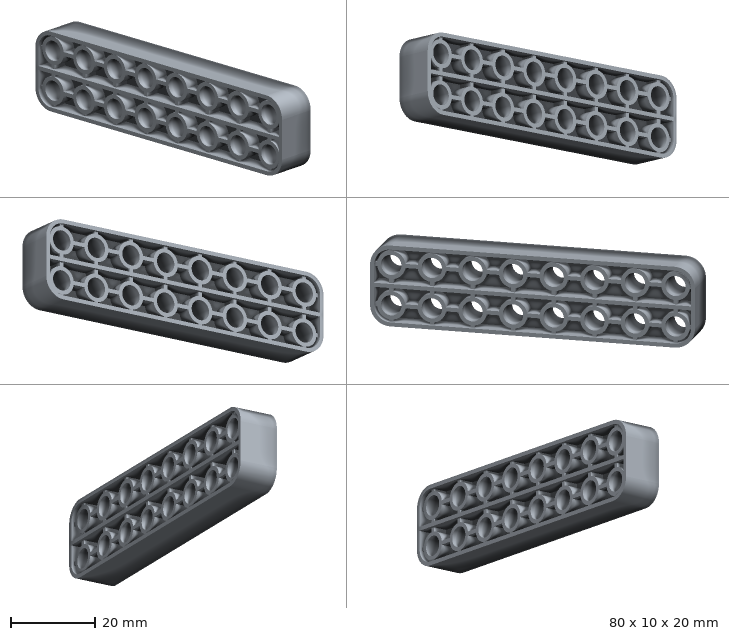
import cadquery as cq

length = 80.0
columns = 8
rows = 2
pitch = length / columns
height = rows * pitch
depth = pitch
corner_radius = pitch / 2

thickness = pitch / 10
hole_diameter = pitch / 2
boss_diameter = hole_diameter + 2 * thickness
rib_recess = 0.8

rib_depth = depth - 2 * rib_recess
rib_length = length - thickness
rib_height = height - thickness

hole_columns = [(i - (columns - 1) / 2) * pitch for i in range(columns)]
hole_rows = [(j - (rows - 1) / 2) * pitch for j in range(rows)]
hole_centres = [(x, z) for x in hole_columns for z in hole_rows]


def rounded_block(width, tall, radius):
    """Full-depth block centred on the origin, rounded on its four edges along Y."""
    return cq.Workplane("XZ").rect(width, tall).extrude(depth / 2, both=True).edges("|Y").fillet(radius)


def centred_bars(centres, width, tall, y_size):
    """Rectangular bars at (x, z) centres, symmetric about mid-depth."""
    return cq.Workplane("XZ").pushPoints(centres).rect(width, tall).extrude(y_size / 2, both=True)


def centred_cylinders(diameter, y_size):
    """Cylinders at every hole centre, symmetric about mid-depth."""
    return cq.Workplane("XZ").pushPoints(hole_centres).circle(diameter / 2).extrude(y_size / 2, both=True)


outer_block = rounded_block(length, height, corner_radius)
inner_block = rounded_block(length - 2 * thickness, height - 2 * thickness, corner_radius - thickness)
rim = outer_block.cut(inner_block)

web = inner_block.intersect(cq.Workplane("XY").box(length, thickness, height))

divider = centred_bars([(0, 0)], rib_length, thickness, depth)

row_ribs = centred_bars([(0, z) for z in hole_rows], rib_length, thickness, rib_depth)
column_ribs = centred_bars([(x, 0) for x in hole_columns], thickness, rib_height, rib_depth)

bosses = centred_cylinders(boss_diameter, rib_depth)
holes = centred_cylinders(hole_diameter, depth)

result = rim.union(web).union(divider).union(row_ribs).union(column_ribs).union(bosses).cut(holes)